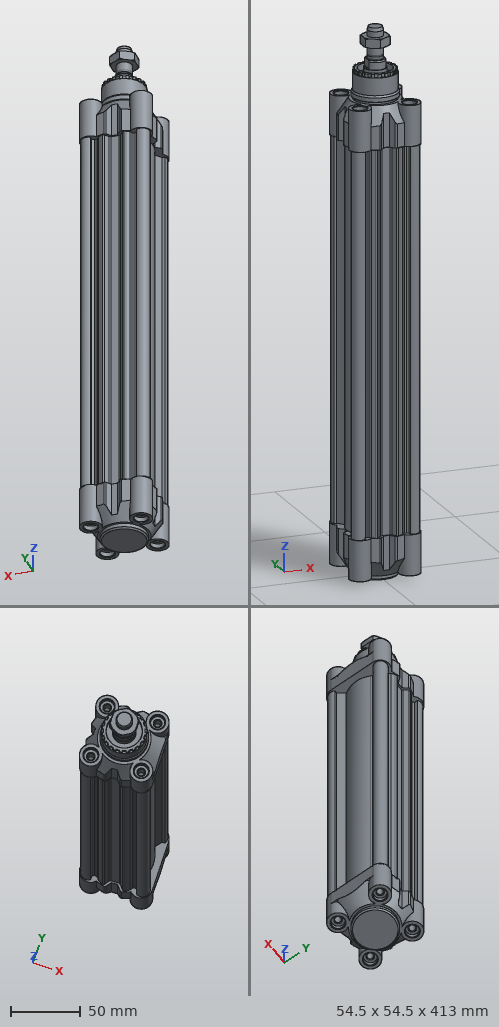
import cadquery as cq
import math

cap_width = 54.5
cap_height = 31.0
body_length = 355.0
rear_z = -body_length

screw_pitch = 38.0
boss_radius = (cap_width - screw_pitch) / 2
recess_diameter = 10.3
recess_mouth_diameter = 11.45
recess_depth = 4.0
thread_mouth_diameter = 6.2
thread_diameter = 4.92
thread_depth = 10.0
drill_point_height = thread_diameter / 2 * math.tan(math.radians(30))

notch_floor_half = 2.2
notch_floor_depth = 22.5
arm_inner = 5.2
arm_inner_height = 26.2
arm_crest = 6.6
arm_crest_height = 26.8
arm_outer = 12.9
arm_outer_height = 24.9
boss_root = 19.0
cone_radius = 19.2
cone_slope = 0.66
cone_depth = 16.0
port_side = cap_width / 2

collar_diameter = 33.0
ring_diameter = 35.0
ring_bottom = 1.8
ring_top = 5.2
ring_shoulder = 6.6
collar_height = 22.5
rim_diameter = 32.0
rim_height = 2.6
tooth_count = 20
tooth_gap_floor = 15.0
seal_groove_diameter = 26.0
seal_groove_depth = 5.0
seal_lip_diameter = 17.0
seal_lip_rise = 0.6
rear_collar_height = 4.0
rear_collar_chamfer = 1.2

tube_length = body_length - 2 * cap_height
tube_bore = 40.0
tube_half_width = 26.0
lobe_radius = 5.6
lobe_center = tube_half_width - lobe_radius
shell_radius = 22.0
shell_half = 10.5
groove_edge = 17.3
groove_edge_height = 22.2
slot_floor_height = 21.2
slot_floor_half = 3.1
slot_lip = 4.3
slot_lip_height = 21.9
crest_half_width = 1.3
crest_center = 8.1
crest_height = 25.7
crest_edge_drop = 0.5
rail_outer = 11.9
rail_outer_height = 23.6
groove_wall = 13.1
groove_wall_height = 21.8
groove_floor_start = 14.4
groove_floor_end = 15.7
ramp_foot = 12.0
ramp_foot_height = 18.6
ramp_top_height = 23.0

rod_diameter = 16.0
rod_chamfer = 0.6
rod_chamfer_height = 1.2
flat_width = 13.0
flat_length = 6.5
thread_size = 12.0
rod_shoulder_z = 30.0
rod_tip_z = 54.0
tip_diameter = 10.3
tip_chamfer_height = 2.6
relief_diameter = 11.45
relief_bottom = 31.0
relief_middle = 32.2
relief_top = 33.4
nut_across_flats = 19.0
nut_height = 7.0
nut_bottom = 40.0
nut_chamfer_height = 0.6
nut_chamfer_width = 1.1


def revolve(profile):
    """Turn a closed (radius, z) profile about the Z axis."""
    return cq.Workplane("XZ").polyline(profile).close().revolve(360, (0, 0, 0), (0, 1, 0))


def corner_points(pitch):
    half = pitch / 2
    return [(sx * half, sy * half) for sx in (-1, 1) for sy in (-1, 1)]


def rotated_outline(sides):
    """Join four sides, each given as (along, outward) points, counter-clockwise from -Y."""
    quarter_turns = [(1, 0), (0, 1), (-1, 0), (0, -1)]
    outline = []
    for (cosine, sine), side in zip(quarter_turns, sides):
        for along, out in side:
            outline.append((along * cosine + out * sine, along * sine - out * cosine))
    return outline


def mirrored(half_side):
    """Complete a side from its right half, listed from the middle outward."""
    return [(-a, h) for a, h in reversed(half_side)] + half_side


def screw_recess(x, y):
    """Stepped recess with a tapped hole, its mouth at z = 0."""
    mouth_r = recess_mouth_diameter / 2
    bore_r = recess_diameter / 2
    tap_mouth_r = thread_mouth_diameter / 2
    tap_r = thread_diameter / 2
    tap_floor = -recess_depth - thread_depth
    profile = [
        (0, 0),
        (mouth_r, 0),
        (bore_r, bore_r - mouth_r),
        (bore_r, -recess_depth),
        (tap_mouth_r, -recess_depth),
        (tap_r, -recess_depth - (tap_mouth_r - tap_r)),
        (tap_r, tap_floor),
        (0, tap_floor - drill_point_height),
    ]
    return revolve(profile).translate((x, y, 0))


def make_cap():
    """Cap block below z = 0, mounting face at z = 0, without its collar."""
    notched = mirrored([
        (notch_floor_half, notch_floor_depth),
        (arm_inner, arm_inner_height),
        (arm_crest, arm_crest_height),
        (arm_outer, arm_outer_height),
        (arm_outer, boss_root),
    ])
    filled = mirrored([(boss_root, port_side)])
    core = (
        cq.Workplane("XY").workplane(offset=-cap_height)
        .polyline(rotated_outline([notched, filled, notched, notched])).close()
        .extrude(cap_height)
    )
    cone_foot = cone_radius + cone_slope * cone_depth
    reach = cap_width
    cone = revolve([
        (0, 0),
        (cone_radius, 0),
        (cone_foot, -cone_depth),
        (reach, -cone_depth),
        (reach, -cap_height),
        (0, -cap_height),
    ])
    cap = core.intersect(cone)
    bosses = (
        cq.Workplane("XY").workplane(offset=-cap_height)
        .pushPoints(corner_points(screw_pitch)).circle(boss_radius).extrude(cap_height)
    )
    cap = cap.union(bosses)
    for x, y in corner_points(screw_pitch):
        cap = cap.cut(screw_recess(x, y))
    return cap


def tooth_gaps():
    """Cutters for the evenly spaced gaps around the collar rim."""
    rim_r = rim_diameter / 2
    gap_length = 2 * (rim_r - tooth_gap_floor)
    gap_width = math.pi * rim_r / tooth_count
    return (
        cq.Workplane("XY").workplane(offset=collar_height - rim_height)
        .polarArray(rim_r, 0, 360, tooth_count).rect(gap_length, gap_width).extrude(rim_height)
    )


def make_front_cap():
    collar_r = collar_diameter / 2
    ring_r = ring_diameter / 2
    rim_r = rim_diameter / 2
    rim_base = collar_height - rim_height
    groove_r = seal_groove_diameter / 2
    lip_r = seal_lip_diameter / 2
    lip_top = collar_height + seal_lip_rise
    collar = revolve([
        (0, 0),
        (collar_r, 0),
        (collar_r, ring_bottom),
        (ring_r, ring_bottom),
        (ring_r, ring_top),
        (collar_r, ring_shoulder),
        (collar_r, rim_base),
        (rim_r, rim_base),
        (rim_r, collar_height),
        (groove_r, collar_height),
        (groove_r, collar_height - seal_groove_depth),
        (lip_r, collar_height - seal_groove_depth),
        (lip_r, lip_top),
        (0, lip_top),
    ])
    rod_hole = (
        cq.Workplane("XY").workplane(offset=-cap_height)
        .circle(rod_diameter / 2).extrude(cap_height + lip_top)
    )
    return make_cap().union(collar).cut(tooth_gaps()).cut(rod_hole)


def make_rear_cap():
    collar = (
        cq.Workplane("XY").circle(ring_diameter / 2).extrude(rear_collar_height)
        .faces(">Z").chamfer(rear_collar_chamfer)
    )
    return make_cap().union(collar).mirror("XY").translate((0, 0, rear_z))


def make_tube():
    slotted = mirrored([
        (slot_floor_half, slot_floor_height),
        (slot_lip, slot_lip_height),
        (crest_center - crest_half_width, crest_height - crest_edge_drop),
        (crest_center, crest_height),
        (crest_center + crest_half_width, crest_height - crest_edge_drop),
        (rail_outer, rail_outer_height),
        (groove_wall, groove_wall_height),
        (groove_floor_start, slot_floor_height),
        (groove_floor_end, slot_floor_height),
        (groove_edge, groove_edge_height),
    ])
    edge_height = math.sqrt(shell_radius**2 - shell_half**2)
    ramped = mirrored([
        (shell_half, edge_height),
        (ramp_foot, ramp_foot_height),
        (groove_edge, ramp_top_height),
    ])
    lobe_reach = tube_half_width - groove_edge
    start = cq.Workplane("XY").workplane(offset=rear_z + cap_height)
    outline = rotated_outline([slotted, ramped, slotted, ramped])
    core = start.polyline(outline).close().extrude(tube_length)
    lobes = start.pushPoints(corner_points(2 * lobe_center)).circle(lobe_radius).extrude(tube_length)
    lobe_limit = start.pushPoints(corner_points(2 * tube_half_width)).rect(
        2 * lobe_reach, 2 * lobe_reach).extrude(tube_length)
    lobes = lobes.intersect(lobe_limit)
    shell = start.circle(shell_radius).extrude(tube_length).intersect(
        start.rect(2 * shell_radius, 2 * shell_half).extrude(tube_length))
    bore = start.circle(tube_bore / 2).extrude(tube_length)
    return core.union(lobes).union(shell).cut(bore)


def make_rod():
    rod_r = rod_diameter / 2
    thread_r = thread_size / 2
    relief_r = relief_diameter / 2
    rod = revolve([
        (0, -cap_height),
        (rod_r, -cap_height),
        (rod_r, rod_shoulder_z - rod_chamfer_height),
        (rod_r - rod_chamfer, rod_shoulder_z),
        (thread_r, rod_shoulder_z),
        (thread_r, relief_bottom),
        (relief_r, relief_middle),
        (thread_r, relief_top),
        (thread_r, rod_tip_z - tip_chamfer_height),
        (tip_diameter / 2, rod_tip_z),
        (0, rod_tip_z),
    ])
    for side in (-1, 1):
        flat = cq.Workplane("XY").box(rod_diameter, rod_diameter, flat_length).translate(
            (side * (flat_width + rod_diameter) / 2, 0, rod_shoulder_z - flat_length / 2))
        rod = rod.cut(flat)
    return rod


def make_nut():
    corner_diameter = nut_across_flats / math.cos(math.pi / 6)
    hexagon = (
        cq.Workplane("XY").polygon(6, corner_diameter).extrude(nut_height)
        .rotate((0, 0, 0), (0, 0, 1), 30)
    )
    round_limit = (
        cq.Workplane("XY").circle(corner_diameter / 2).extrude(nut_height)
        .edges().chamfer(nut_chamfer_height, nut_chamfer_width)
    )
    hole = cq.Workplane("XY").circle(thread_size / 2).extrude(nut_height)
    return hexagon.intersect(round_limit).cut(hole).translate((0, 0, nut_bottom))


front_cap = make_front_cap()
rear_cap = make_rear_cap()
tube = make_tube()
rod = make_rod()
nut = make_nut()

result = cq.Compound.makeCompound([
    front_cap.val(), rear_cap.val(), tube.val(), rod.val(), nut.val(),
])